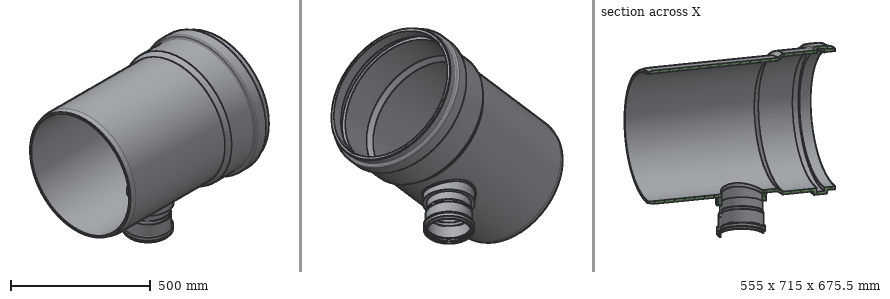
import cadquery as cq

PIPE_LENGTH = 715.0
PIPE_DIAMETER = 500.0
PIPE_BORE = 474.0
PIPE_WALL = (PIPE_DIAMETER - PIPE_BORE) / 2

SPIGOT_BEVEL_LENGTH = 21.0
SPIGOT_BEVEL_DEPTH = 5.0

SOCKET_BORE = 502.0
SOCKET_DIAMETER = SOCKET_BORE + 2 * PIPE_WALL
TAPER_START = 494.0
TAPER_END = 515.0
MOUTH_CHAMFER = 2.0

BEAD_DIAMETER = 555.0
BEAD_START = 632.0
BEAD_END = 685.0
BEAD_CREST_RADIUS = 5.0
BEAD_ROOT_RADIUS = 3.5
GROOVE_DIAMETER = BEAD_DIAMETER - 2 * PIPE_WALL

BRANCH_Y = 358.0
BRANCH_DIAMETER = 160.0
BRANCH_BORE = 152.0
SADDLE_DIAMETER = 186.5
SADDLE_BOTTOM = -279.5
WELD_SIZE = 4.0

BRANCH_END = -398.0
BRANCH_WALL = 3.5
BRANCH_SOCKET_BORE = 161.0
BRANCH_SOCKET_DIAMETER = BRANCH_SOCKET_BORE + 2 * BRANCH_WALL
BRANCH_TAPER_TOP = -312.0
BRANCH_TAPER_BOTTOM = -324.0
BRANCH_BEAD_DIAMETER = 181.5
BRANCH_BEAD_TOP = -372.0
BRANCH_BEAD_BOTTOM = -392.0
BRANCH_BEAD_RADIUS = 1.5
BRANCH_GROOVE_DIAMETER = BRANCH_BEAD_DIAMETER - 2 * BRANCH_WALL

TOLERANCE = 0.01


def revolved_about_y(profile):
    """Solid of revolution about Y from (diameter, y) points; it closes along the axis."""
    points = [(diameter / 2, y) for diameter, y in profile]
    points = [(0, points[0][1])] + points + [(0, points[-1][1])]
    return cq.Workplane("XY").polyline(points).close().revolve(360, (0, 0), (0, 1))


def revolved_about_branch(profile):
    """Solid of revolution about the branch axis from (diameter, z) points."""
    points = [(diameter / 2, z) for diameter, z in profile]
    points = [(0, points[0][1])] + points + [(0, points[-1][1])]
    outline = cq.Workplane("XZ", origin=(0, BRANCH_Y, 0)).polyline(points).close()
    return outline.revolve(360, (0, 0), (0, 1))


def round_circles(body, diameter, radius, heights, axis):
    """Round the circular edges of one diameter at the given heights along "Y" or "Z"."""
    def is_chosen(edge):
        center = edge.arcCenter()
        height = center.y if axis == "Y" else center.z
        same_diameter = abs(2 * edge.radius() - diameter) < TOLERANCE
        return same_diameter and any(abs(height - wanted) < TOLERANCE for wanted in heights)

    return body.edges("%CIRCLE").filter(is_chosen).fillet(radius)


def make_main_pipe():
    """Pipe with a beveled spigot, a beaded socket and an opening into the branch."""
    outside = revolved_about_y([
        (PIPE_DIAMETER - 2 * SPIGOT_BEVEL_DEPTH, 0),
        (PIPE_DIAMETER, SPIGOT_BEVEL_LENGTH),
        (PIPE_DIAMETER, TAPER_START),
        (SOCKET_DIAMETER, TAPER_END),
        (SOCKET_DIAMETER, BEAD_START),
        (BEAD_DIAMETER, BEAD_START),
        (BEAD_DIAMETER, BEAD_END),
        (SOCKET_DIAMETER, BEAD_END),
        (SOCKET_DIAMETER, PIPE_LENGTH - MOUTH_CHAMFER),
        (SOCKET_DIAMETER - 2 * MOUTH_CHAMFER, PIPE_LENGTH),
    ])
    bead_sides = (BEAD_START, BEAD_END)
    outside = round_circles(outside, BEAD_DIAMETER, BEAD_CREST_RADIUS, bead_sides, "Y")
    outside = round_circles(outside, SOCKET_DIAMETER, BEAD_ROOT_RADIUS, bead_sides, "Y")
    inside = revolved_about_y([
        (PIPE_BORE, 0),
        (PIPE_BORE, TAPER_START),
        (SOCKET_BORE, TAPER_END),
        (SOCKET_BORE, BEAD_START + PIPE_WALL),
        (GROOVE_DIAMETER, BEAD_START + PIPE_WALL),
        (GROOVE_DIAMETER, BEAD_END - PIPE_WALL),
        (SOCKET_BORE, BEAD_END - PIPE_WALL),
        (SOCKET_BORE, PIPE_LENGTH),
    ])
    branch_opening = revolved_about_branch([(BRANCH_BORE, 0), (BRANCH_BORE, SADDLE_BOTTOM)])
    return outside.cut(inside).cut(branch_opening)


def make_branch():
    """Saddle, short pipe and beaded socket in one body, fitted to the outside of the main pipe."""
    outside = revolved_about_branch([
        (SADDLE_DIAMETER, 0),
        (SADDLE_DIAMETER, SADDLE_BOTTOM),
        (BRANCH_DIAMETER, SADDLE_BOTTOM),
        (BRANCH_DIAMETER, BRANCH_TAPER_TOP),
        (BRANCH_SOCKET_DIAMETER, BRANCH_TAPER_BOTTOM),
        (BRANCH_SOCKET_DIAMETER, BRANCH_BEAD_TOP),
        (BRANCH_BEAD_DIAMETER, BRANCH_BEAD_TOP),
        (BRANCH_BEAD_DIAMETER, BRANCH_BEAD_BOTTOM),
        (BRANCH_SOCKET_DIAMETER, BRANCH_BEAD_BOTTOM),
        (BRANCH_SOCKET_DIAMETER, BRANCH_END),
    ])
    bead_sides = (BRANCH_BEAD_TOP, BRANCH_BEAD_BOTTOM)
    for diameter in (BRANCH_BEAD_DIAMETER, BRANCH_SOCKET_DIAMETER):
        outside = round_circles(outside, diameter, BRANCH_BEAD_RADIUS, bead_sides, "Z")

    main_pipe_envelope = revolved_about_y([(PIPE_DIAMETER, 0), (PIPE_DIAMETER, PIPE_LENGTH)])
    joined = main_pipe_envelope.union(outside)

    def is_saddle_seam(edge):
        return edge.geomType() not in ("LINE", "CIRCLE")

    outside = joined.edges().filter(is_saddle_seam).chamfer(WELD_SIZE)

    inside = revolved_about_branch([
        (BRANCH_BORE, 0),
        (BRANCH_BORE, BRANCH_TAPER_TOP),
        (BRANCH_SOCKET_BORE, BRANCH_TAPER_BOTTOM),
        (BRANCH_SOCKET_BORE, BRANCH_BEAD_TOP - BRANCH_WALL),
        (BRANCH_GROOVE_DIAMETER, BRANCH_BEAD_TOP - BRANCH_WALL),
        (BRANCH_GROOVE_DIAMETER, BRANCH_BEAD_BOTTOM + BRANCH_WALL),
        (BRANCH_SOCKET_BORE, BRANCH_BEAD_BOTTOM + BRANCH_WALL),
        (BRANCH_SOCKET_BORE, BRANCH_END),
    ])
    return outside.cut(inside).cut(main_pipe_envelope)


main_pipe = make_main_pipe()
branch = make_branch()
result = cq.Compound.makeCompound([main_pipe.val(), branch.val()])